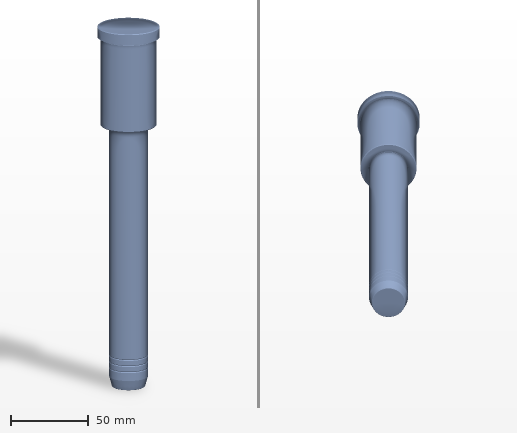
import cadquery as cq

total_length = 240.0
head_diameter = 40.0
head_height = 7.0
head_edge_chamfer = 0.5
sleeve_diameter = 36.0
sleeve_end_z = 174.0
sleeve_edge_chamfer = 0.5
collar_diameter = 25.5
collar_length = 0.7
shank_diameter = 25.0

tip_diameter = 21.4
tip_height = 6.7
tip_edge_chamfer = 0.2

shank_groove_half_width = 0.5
lowest_groove_z = 12.5
groove_pitch = 4.0
shank_groove_count = 3
relief_half_width = 0.6

head_base_z = total_length - head_height


def cylinder(diameter, bottom_z, top_z):
    return cq.Workplane("XY").workplane(offset=bottom_z).circle(diameter / 2).extrude(top_z - bottom_z)


def ring_groove(outer_diameter, middle_z, half_width):
    """Ring with a 45 degree V profile, to cut from a cylinder of the given diameter."""
    outer_radius = outer_diameter / 2
    profile = [
        (outer_radius, middle_z - half_width),
        (outer_radius - half_width, middle_z),
        (outer_radius, middle_z + half_width),
    ]
    return cq.Workplane("XZ").polyline(profile).close().revolve(360, (0, 0), (0, 1))


def tapered_tip():
    tip = (
        cq.Workplane("XY")
        .circle(tip_diameter / 2)
        .workplane(offset=tip_height)
        .circle(shank_diameter / 2)
        .loft(ruled=True)
    )
    return tip.faces("<Z").chamfer(tip_edge_chamfer)


head = cylinder(head_diameter, head_base_z, total_length)
head = head.faces(">Z").edges().chamfer(head_edge_chamfer)
sleeve = cylinder(sleeve_diameter, sleeve_end_z, head_base_z)
sleeve = sleeve.faces("<Z").edges().chamfer(sleeve_edge_chamfer)
collar = cylinder(collar_diameter, sleeve_end_z - collar_length, sleeve_end_z)
shank = cylinder(shank_diameter, tip_height, sleeve_end_z)
result = head.union(sleeve).union(collar).union(shank).union(tapered_tip())

result = result.cut(ring_groove(sleeve_diameter, head_base_z - relief_half_width, relief_half_width))

for index in range(shank_groove_count):
    groove_z = lowest_groove_z + index * groove_pitch
    result = result.cut(ring_groove(shank_diameter, groove_z, shank_groove_half_width))